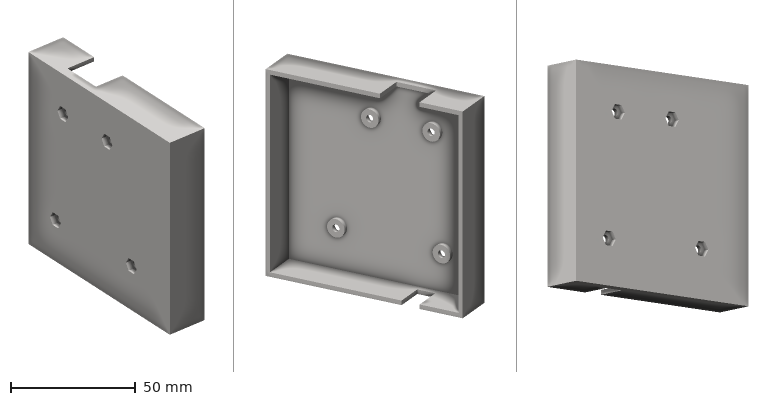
import cadquery as cq

SIDE = 90.0
DEPTH = 18.0
WALL = 2.0
FLOOR = 2.25

NOTCH_LEFT = 19.7
TOP_NOTCH_RIGHT = 37.8
TOP_NOTCH_START = 4.2
BOTTOM_NOTCH_RIGHT = 27.9
BOTTOM_NOTCH_START = 4.95

STANDOFF_CENTRES = [(22.0, 71.3), (50.0, 71.55), (17.3, 19.3), (65.5, 20.6)]
STANDOFF_DIAMETER = 8.0
STANDOFF_HEIGHT = TOP_NOTCH_START - FLOOR
BORE_DIAMETER = 3.2
NUT_SIDES = 6
NUT_CORNER_DIAMETER = 6.8


def block(size, corner):
    """Box of the given size with its lowest X, Y, Z corner at `corner`."""
    return cq.Workplane("XY").box(*size, centered=False).translate(corner)


def front_plane(y):
    """XZ plane at depth `y`; its normal is -Y, so inward extrusions are negative."""
    return cq.Workplane("XZ", origin=(0, y, 0))


def notch_cutter(right, start, z):
    """Cutter through a horizontal wall whose underside is at `z`."""
    size = (right - NOTCH_LEFT, DEPTH - start, WALL)
    return block(size, (NOTCH_LEFT, start, z))


def nut_pockets():
    """Hexagonal cutters through the floor, with corners pointing along X."""
    return (
        front_plane(0)
        .pushPoints(STANDOFF_CENTRES)
        .polygon(NUT_SIDES, NUT_CORNER_DIAMETER)
        .extrude(-FLOOR)
    )


def make_housing():
    """Open-backed box with cable notches and nut pockets."""
    inner_side = SIDE - 2 * WALL
    cavity = block((inner_side, DEPTH - FLOOR, inner_side), (WALL, FLOOR, WALL))
    top_notch = notch_cutter(TOP_NOTCH_RIGHT, TOP_NOTCH_START, SIDE - WALL)
    bottom_notch = notch_cutter(BOTTOM_NOTCH_RIGHT, BOTTOM_NOTCH_START, 0)
    shell = block((SIDE, DEPTH, SIDE), (0, 0, 0)).cut(cavity)
    return shell.cut(top_notch).cut(bottom_notch).cut(nut_pockets())


def make_standoff(centre):
    """Bored round standoff that closes the inner end of one nut pocket."""
    return (
        front_plane(FLOOR)
        .center(*centre)
        .circle(STANDOFF_DIAMETER / 2)
        .circle(BORE_DIAMETER / 2)
        .extrude(-STANDOFF_HEIGHT)
    )


housing = make_housing()
standoffs = [make_standoff(centre).val() for centre in STANDOFF_CENTRES]

result = cq.Compound.makeCompound([housing.val(), *standoffs])